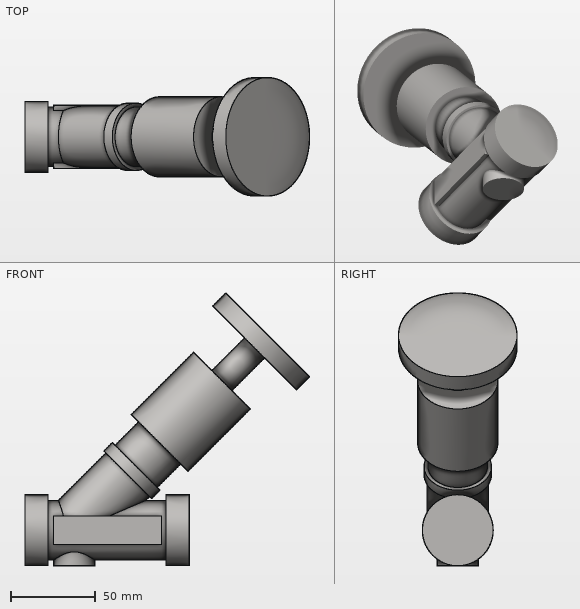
import cadquery as cq

BODY_LENGTH = 97.0
BODY_DIAMETER = 35.2
FLANGE_DIAMETER = 41.91
FLANGE_THICKNESS = 13.8

BAR_START = 17.0
BAR_END = 80.5
BAR_WIDTH = 37.5
BAR_HEIGHT = 17.0

PORT_DIAMETER = 24.25
PORT_CENTRE_X = BAR_START + PORT_DIAMETER / 2

STEM_ORIGIN_X = 28.0
STEM_ANGLE = 45.0

NECK_DIAMETER, NECK_END = 36.46, 46.2
COLLAR_DIAMETER, COLLAR_END = 39.81, 53.3
BONNET_DIAMETER, BONNET_END = 35.2, 72.8
ACTUATOR_DIAMETER, ACTUATOR_END = 47.36, 124.8
SPINDLE_DIAMETER, SPINDLE_END = 16.76, 152.0
HANDWHEEL_DIAMETER, HANDWHEEL_END = 70.0, 163.0


def cylinder_along_x(start, end, diameter):
    return cq.Workplane("YZ", origin=(start, 0, 0)).circle(diameter / 2).extrude(end - start)


def make_body():
    body = cylinder_along_x(0, BODY_LENGTH, BODY_DIAMETER)
    inlet_flange = cylinder_along_x(0, FLANGE_THICKNESS, FLANGE_DIAMETER)
    outlet_flange = cylinder_along_x(BODY_LENGTH - FLANGE_THICKNESS, BODY_LENGTH, FLANGE_DIAMETER)
    return body.union(inlet_flange).union(outlet_flange)


def make_bar():
    length = BAR_END - BAR_START
    return cq.Workplane("XY").box(length, BAR_WIDTH, BAR_HEIGHT).translate((BAR_START + length / 2, 0, 0))


def make_port():
    return (
        cq.Workplane("XY", origin=(PORT_CENTRE_X, 0, 0))
        .circle(PORT_DIAMETER / 2)
        .extrude(-FLANGE_DIAMETER / 2)
    )


def make_stem():
    """Stack the stem sections upright, then tilt them towards +X."""
    sections = [
        (NECK_DIAMETER, NECK_END),
        (COLLAR_DIAMETER, COLLAR_END),
        (BONNET_DIAMETER, BONNET_END),
        (ACTUATOR_DIAMETER, ACTUATOR_END),
        (SPINDLE_DIAMETER, SPINDLE_END),
        (HANDWHEEL_DIAMETER, HANDWHEEL_END),
    ]
    stem = cq.Workplane("XY")
    start = 0.0
    for diameter, end in sections:
        section = cq.Workplane("XY", origin=(0, 0, start)).circle(diameter / 2).extrude(end - start)
        stem = stem.union(section)
        start = end
    tilted = stem.rotate((0, 0, 0), (0, 1, 0), STEM_ANGLE)
    return tilted.translate((STEM_ORIGIN_X, 0, 0))


result = make_body().union(make_bar()).union(make_port()).union(make_stem())